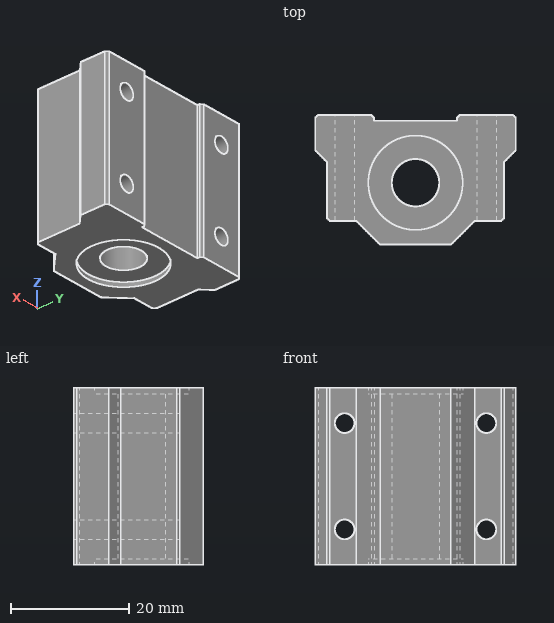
import cadquery as cq

WIDTH = 34.0
DEPTH = 22.0
HEIGHT = 30.0

FLANGE_SIDE = 6.0
BODY_WIDTH = 30.0
NOSE_LENGTH = 4.0
NOSE_FACE_WIDTH = 12.0
RELIEF_WIDTH = 14.0
RELIEF_DEPTH = 1.0
CORNER_CHAMFER = 0.5

BORE_DIAMETER = 8.0
RECESS_DIAMETER = 16.0
RECESS_DEPTH = 1.0
BORE_TO_BACK = 11.5

HOLE_DIAMETER = 3.3
HOLE_SPACING_X = 24.0
HOLE_SPACING_Z = 18.0

BACK_Y = BORE_TO_BACK
FRONT_Y = BACK_Y - DEPTH


def make_body():
    """Extrude the symmetric profile along Z."""
    half_width = WIDTH / 2
    half_body = BODY_WIDTH / 2
    half_nose = NOSE_FACE_WIDTH / 2
    half_relief = RELIEF_WIDTH / 2
    chamfer = CORNER_CHAMFER
    flange_y = BACK_Y - FLANGE_SIDE
    taper_y = flange_y - (half_width - half_body)
    shoulder_y = FRONT_Y + NOSE_LENGTH
    nose_root = half_nose + NOSE_LENGTH

    right_half = [
        (half_relief, BACK_Y - RELIEF_DEPTH),
        (half_relief, BACK_Y - chamfer),
        (half_relief + chamfer, BACK_Y),
        (half_width - chamfer, BACK_Y),
        (half_width, BACK_Y - chamfer),
        (half_width, flange_y),
        (half_body, taper_y),
        (half_body, shoulder_y + chamfer),
        (half_body - chamfer, shoulder_y),
        (nose_root, shoulder_y),
        (half_nose, FRONT_Y),
    ]
    left_half = [(-x, y) for x, y in reversed(right_half)]
    return (
        cq.Workplane("XY")
        .workplane(offset=-HEIGHT / 2)
        .polyline(right_half + left_half)
        .close()
        .extrude(HEIGHT)
    )


def cut_bore(body):
    """Cut the through bore and the shallow recess in each end face."""
    body = body.faces(">Z").workplane(origin=(0, 0, 0)).hole(BORE_DIAMETER)
    for end in (">Z", "<Z"):
        body = (
            body.faces(end)
            .workplane(origin=(0, 0, 0))
            .circle(RECESS_DIAMETER / 2)
            .cutBlind(-RECESS_DEPTH)
        )
    return body


def cut_mounting_holes(body):
    """Drill the four mounting holes right through along Y."""
    drills = (
        cq.Workplane("XZ", origin=(0, BACK_Y, 0))
        .rarray(HOLE_SPACING_X, HOLE_SPACING_Z, 2, 2)
        .circle(HOLE_DIAMETER / 2)
        .extrude(DEPTH)
    )
    return body.cut(drills)


result = cut_mounting_holes(cut_bore(make_body()))